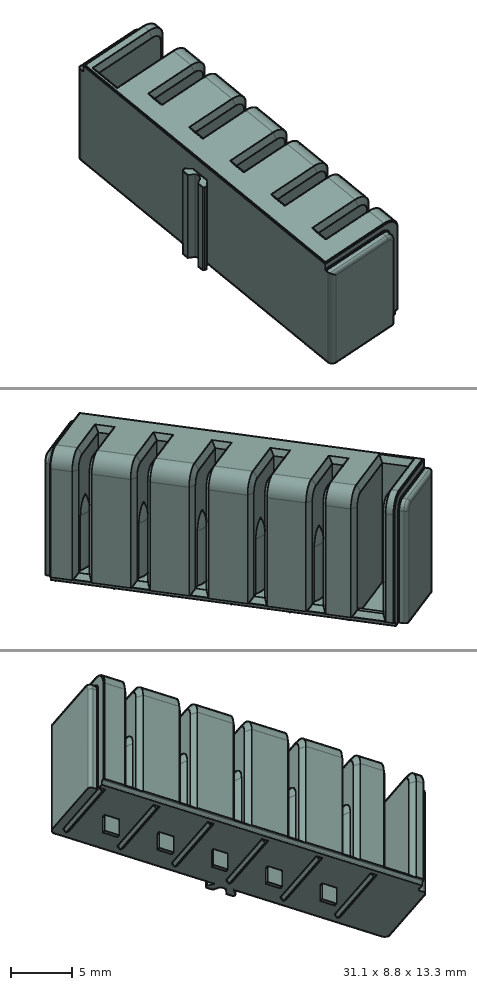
import cadquery as cq
overall_length = 31.1
body_depth = 8.02
body_height = 11.7
back_edge_radius = 1.5
edge_break = 0.1
rabbet_depth = 0.35
rabbet_height = 0.4
rabbet_corner_radius = 0.2

cap_thickness = 0.78
cap_drop = 0.8
cap_back_inset = 1.05
cap_corner_radius = 0.78
cap_rim_radius = 0.3
cap_front_radius = 0.47
cap_root_chamfer = 0.1

pitch = 5.0
pin_count = 5
rib_count = 6

slot_width = 0.93
slot_front = 2.1
slot_front_slope = 0.28
end_slot_width = 2.25
end_slot_front = 0.7
end_slot_front_slope = 0.37
end_slot_offset = 3.02
slot_chamfer_width = 0.37
slot_chamfer_depth = 0.55
ramp_depth = 0.55
ramp_toe = 0.1
pocket_back_inset = 0.95
pocket_depth = 0.47

post_radius = 2.43
post_back_inset = 2.4
post_height = 5.85

pin_width = 1.35
pin_thickness = 0.3
pin_length = 1.62
rib_width = 0.55
rib_height = rib_width / 2
rib_front_inset = 0.87
rib_back_inset = 0.8

rail_pole = 3
rail_height = 10.0
rail_depth = 0.78
rail_base_half = 1.77 / 2
rail_tip_half = 2.65 / 2
rail_flank_depth = 0.47
rail_tip_chamfer = 0.1
groove_mouth_half = 0.62
groove_arc_half = 0.3
groove_arc_start = 0.28
groove_apex = 0.15

selection_margin = 0.03

left_end = -overall_length / 2
body_length = overall_length - 2 * cap_thickness
slot_floor = rabbet_height + ramp_depth - ramp_toe
rib_positions = [left_end + pitch * (i + 1) for i in range(rib_count)]
slot_positions = [left_end + pitch * (i + 1.5) for i in range(pin_count)]
rail_position = left_end + pitch * rail_pole
end_slot_position = left_end + end_slot_offset


def side_prism(outline, x_center, width):
    """Extrude a closed Y-Z outline along X, centred on x_center."""
    return outline.extrude(width / 2, both=True).translate((x_center, 0, 0))


def make_body():
    body = cq.Workplane("XY").box(body_length, body_depth, body_height, centered=(True, False, False))
    body = body.edges(">Y and >Z").fillet(back_edge_radius)
    return body.edges(">Z and (<X or >X or <Y)").chamfer(edge_break)


def cut_slot(body, x_center, width, front, front_slope):
    """Cut a slot with chamfered walls, a sloped front end and a ramp at the foot of its back opening."""
    outline = (
        cq.Workplane("YZ")
        .moveTo(front - front_slope, body_height)
        .lineTo(front, body_height - slot_chamfer_depth)
        .lineTo(front, slot_floor)
        .lineTo(body_depth - ramp_depth, slot_floor)
        .lineTo(body_depth, slot_floor - ramp_depth)
        .lineTo(body_depth, body_height)
        .close()
    )
    body = body.cut(side_prism(outline, x_center, width))

    for side in (-1, 1):
        wall_x = x_center + side * width / 2
        wall_top_edge = cq.selectors.BoxSelector(
            (wall_x - selection_margin, 0, body_height - selection_margin),
            (wall_x + selection_margin, body_depth, body_height + selection_margin),
        )
        body = body.edges(wall_top_edge).edges("|Y").chamfer(slot_chamfer_width, slot_chamfer_depth)

    ramp = (
        cq.Workplane("YZ")
        .moveTo(body_depth - ramp_depth, 0)
        .lineTo(body_depth - ramp_depth, slot_floor)
        .lineTo(body_depth, slot_floor - ramp_depth)
        .lineTo(body_depth, 0)
        .close()
    )
    return body.union(side_prism(ramp, x_center, width + 2 * slot_chamfer_width))


def make_post(x_center):
    """Upright cylinder whose back half carries a quarter-sphere dome."""
    center = (x_center, body_depth - post_back_inset, 0)
    post = cq.Workplane("XY").circle(post_radius).extrude(post_height)
    dome = cq.Workplane("XY").sphere(post_radius, angle1=0).translate((0, 0, post_height))
    back_half = cq.Workplane("XY").box(
        2 * post_radius, post_radius, body_height, centered=(True, False, False)
    )
    return post.union(dome.intersect(back_half)).translate(center)


def make_slot_posts(x_center):
    """Parts of the two neighbouring posts that stand inside a slot."""
    window = cq.Workplane("XY").box(
        slot_width, body_depth, body_height, centered=(True, False, False)
    ).translate((x_center, 0, 0))
    posts = make_post(x_center - pitch / 2).union(make_post(x_center + pitch / 2))
    return posts.intersect(window)


def make_rabbet():
    rabbet = cq.Workplane("XY").box(
        body_length, 2 * rabbet_depth, 2 * rabbet_height
    ).edges("<Y and >Z").fillet(rabbet_corner_radius)
    return rabbet.translate((0, body_depth, 0))


def make_left_cap():
    """Cap whose rounded rim and rounded front corner meet in a mitre."""
    cap_depth = body_depth - cap_back_inset
    cap_height = body_height - cap_drop
    block = cq.Workplane("XY").box(cap_thickness, cap_depth, cap_height, centered=False)
    rimmed = block.edges(">Y and >Z").fillet(cap_corner_radius)
    rimmed = rimmed.edges("<X and >Z").fillet(cap_rim_radius)
    fronted = block.edges("<X and <Y").fillet(cap_front_radius)
    return rimmed.intersect(fronted).translate((left_end, 0, 0))


def chamfer_cap_root(body, side):
    """Bevel the inner corner where a cap meets the end face of the body."""
    root_x = side * body_length / 2
    root_z = body_height - cap_drop
    root_edge = cq.selectors.BoxSelector(
        (root_x - selection_margin, 0, root_z - selection_margin),
        (root_x + selection_margin, body_depth, root_z + selection_margin),
    )
    return body.edges(root_edge).edges("|Y").chamfer(cap_root_chamfer)


def make_pin(x_center):
    pin = cq.Workplane("XY").box(pin_width, pin_thickness, pin_length, centered=(True, True, False))
    return pin.translate((x_center, body_depth / 2, -pin_length))


def make_rib(x_center):
    """Triangular rib along Y under the housing."""
    rib_length = body_depth - rib_front_inset - rib_back_inset
    rib = (
        cq.Workplane("XZ")
        .moveTo(-rib_width / 2, 0)
        .lineTo(rib_width / 2, 0)
        .lineTo(0, -rib_height)
        .close()
        .extrude(-rib_length)
    )
    return rib.translate((x_center, rib_front_inset, 0))


def make_rail():
    """Flared rail with a round-bottomed groove, standing on the front face."""
    return (
        cq.Workplane("XY")
        .moveTo(-rail_base_half, 0)
        .lineTo(-rail_tip_half, -rail_flank_depth)
        .lineTo(-rail_tip_half, -(rail_depth - rail_tip_chamfer))
        .lineTo(-(rail_tip_half - rail_tip_chamfer), -rail_depth)
        .lineTo(-groove_mouth_half, -rail_depth)
        .lineTo(-groove_arc_half, -groove_arc_start)
        .threePointArc((0, -groove_apex), (groove_arc_half, -groove_arc_start))
        .lineTo(groove_mouth_half, -rail_depth)
        .lineTo(rail_tip_half - rail_tip_chamfer, -rail_depth)
        .lineTo(rail_tip_half, -(rail_depth - rail_tip_chamfer))
        .lineTo(rail_tip_half, -rail_flank_depth)
        .lineTo(rail_base_half, 0)
        .close()
        .extrude(rail_height)
    )


body = make_body()
body = cut_slot(body, end_slot_position, end_slot_width, end_slot_front, end_slot_front_slope)
for x in slot_positions:
    body = cut_slot(body, x, slot_width, slot_front, slot_front_slope)
    body = body.union(make_slot_posts(x))
body = body.cut(make_rabbet())

pocket_length = body_depth - pocket_back_inset - end_slot_front
pocket = cq.Workplane("XY").box(end_slot_width, pocket_length, pocket_depth, centered=(True, False, False))
body = body.cut(pocket.translate((end_slot_position, end_slot_front, slot_floor - pocket_depth)))

left_cap = make_left_cap()
body = body.union(left_cap).union(left_cap.mirror("YZ"))
for side in (-1, 1):
    body = chamfer_cap_root(body, side)

for x in slot_positions:
    body = body.union(make_pin(x))
for x in rib_positions:
    body = body.union(make_rib(x))
body = body.union(make_rail().translate((rail_position, 0, 0)))

result = body